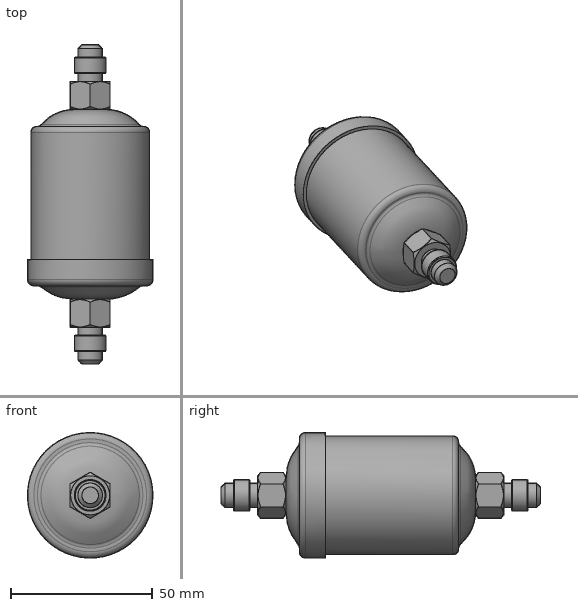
import cadquery as cq
import math

length = 113.0
half_length = length / 2

body_radius = 42.0 / 2
band_radius = 44.4 / 2
band_inner_station = 37.0
front_shoulder = 27.7
front_round = 2.3
back_shoulder = 28.9
back_round = 2.1

crown_radius = 5.6
crown_station = 22.9
dome_edge_radius = 17.4
dome_foot_radius = 18.6

neck_radius = 8.7 / 2
stem_embedding = 2.3
stem_root_station = crown_station + stem_embedding
tip_radius = 2.9
tip_taper = 1.5
collar_radius = 11.2 / 2
collar_outer_station = 4.4
collar_inner_station = 10.3
collar_chamfer = 0.3
hex_flats = 14.1
hex_corners = hex_flats / math.cos(math.pi / 6)
hex_outer_station = 13.0
hex_inner_station = crown_station
hex_chamfer_radius = 6.9
hex_chamfer_height = 1.0


def make_shell(shell_radius, shoulder, rim_round, inner_station):
    """Cylinder on the +Y side with a rounded rim, a flat ring and a blended dome."""
    shoulder_y = half_length - shoulder
    crown_y = half_length - crown_station
    half_angle = math.atan((crown_y - shoulder_y) / (dome_foot_radius - crown_radius))
    dome_angle = 2 * half_angle
    dome_radius = (dome_edge_radius - crown_radius) / math.sin(dome_angle)
    blend_radius = (dome_foot_radius - dome_edge_radius) / math.sin(dome_angle)
    edge_y = crown_y - dome_radius * (1 - math.cos(dome_angle))
    dome_middle = (
        crown_radius + dome_radius * math.sin(half_angle),
        crown_y - dome_radius * (1 - math.cos(half_angle)),
    )
    blend_middle = (
        dome_foot_radius - blend_radius * math.sin(half_angle),
        shoulder_y + blend_radius * (1 - math.cos(half_angle)),
    )
    rim_inset = rim_round * (1 - math.sqrt(0.5))
    return (
        cq.Workplane("XY")
        .moveTo(0, half_length - inner_station)
        .lineTo(shell_radius, half_length - inner_station)
        .lineTo(shell_radius, shoulder_y - rim_round)
        .threePointArc(
            (shell_radius - rim_inset, shoulder_y - rim_inset),
            (shell_radius - rim_round, shoulder_y),
        )
        .lineTo(dome_foot_radius, shoulder_y)
        .threePointArc(blend_middle, (dome_edge_radius, edge_y))
        .threePointArc(dome_middle, (crown_radius, crown_y))
        .lineTo(0, crown_y)
        .close()
        .revolve(360, (0, 0, 0), (0, 1, 0))
    )


def make_canister():
    """Join the body, domed at the back, to the wider band, domed at the front."""
    body_end_station = length - band_inner_station
    body = make_shell(body_radius, back_shoulder, back_round, body_end_station)
    band = make_shell(band_radius, front_shoulder, front_round, band_inner_station)
    return body.union(band.mirror("XZ"))


def make_hex_nut():
    """Hexagon with corners on Z and both ends chamfered by cones."""
    hexagon = (
        cq.Workplane("XZ", origin=(0, half_length - hex_outer_station, 0))
        .polygon(6, hex_corners)
        .extrude(hex_inner_station - hex_outer_station)
        .rotate((0, 0, 0), (0, 1, 0), 90)
    )
    outer = half_length - hex_outer_station
    inner = half_length - hex_inner_station
    corner_radius = hex_corners / 2
    envelope = (
        cq.Workplane("XY")
        .moveTo(0, outer)
        .lineTo(hex_chamfer_radius, outer)
        .lineTo(corner_radius, outer - hex_chamfer_height)
        .lineTo(corner_radius, inner + hex_chamfer_height)
        .lineTo(hex_chamfer_radius, inner)
        .lineTo(0, inner)
        .close()
        .revolve(360, (0, 0, 0), (0, 1, 0))
    )
    return hexagon.intersect(envelope)


def make_stem():
    """Tapered stem rooted in the canister, with its chamfered collar."""
    stem = (
        cq.Workplane("XY")
        .moveTo(0, half_length)
        .lineTo(tip_radius, half_length)
        .lineTo(neck_radius, half_length - tip_taper)
        .lineTo(neck_radius, half_length - stem_root_station)
        .lineTo(0, half_length - stem_root_station)
        .close()
        .revolve(360, (0, 0, 0), (0, 1, 0))
    )
    collar = (
        cq.Workplane("XZ", origin=(0, half_length - collar_outer_station, 0))
        .circle(collar_radius)
        .extrude(collar_inner_station - collar_outer_station)
        .edges()
        .chamfer(collar_chamfer)
    )
    return stem.union(collar)


back_fitting = make_stem().union(make_hex_nut())
front_fitting = back_fitting.mirror("XZ")
result = make_canister().union(back_fitting).union(front_fitting)